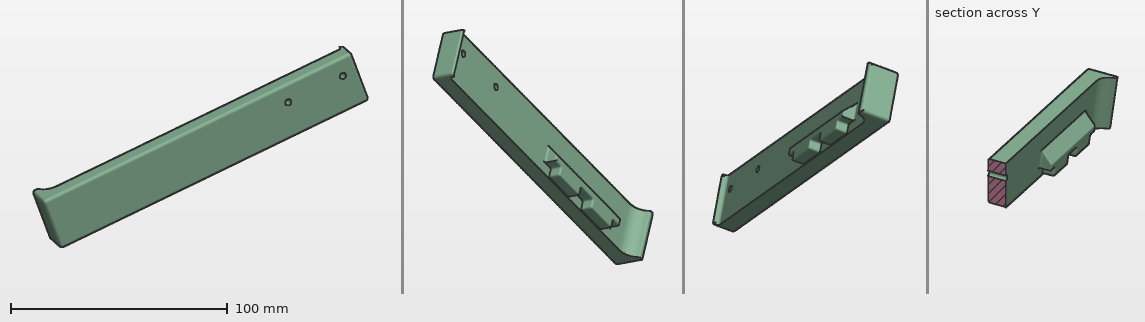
import cadquery as cq
import math

bar_length = 161.0
bar_height = 25.8
bar_thickness = 9.0
tilt_angle = 20
edge_radius = 1.5

hook_depth = 15.5
hook_arc_radius = 8.0
hook_arc_start = 11.1
hook_tip_radius = 1.0

lip_depth = 11.6
lip_width = 1.9
lip_arc_radius = 1.6
lip_edge_radius = 0.8

hole_diameter = 3.0
hole_end_distance = 7.6
hole_spacing = 28.5
hole_height = 4.1

block_depth = 15.0
block_start = 22.1
block_length = 55.7
block_top = 1.6
block_bottom = -7.5
block_edge_radius = 0.8
block_base_radius = 1.0
tooth_width = 17.5
tooth_gap = 10.4
tooth_bottom = -12.3
tooth_corner_radius = 1.0

PICK_MARGIN = 0.2


def make_bar():
    """Bar with the hook and the lip, drawn in plan and extruded upwards."""
    arc_centre_x = -bar_thickness - hook_arc_radius
    rise = hook_depth - bar_thickness
    arc_run = math.sqrt(hook_arc_radius**2 - (hook_arc_radius - rise) ** 2)
    middle_angle = math.asin(arc_run / hook_arc_radius) / 2
    hook_middle = (
        arc_centre_x + hook_arc_radius * math.cos(middle_angle),
        hook_arc_start - hook_arc_radius * math.sin(middle_angle),
    )
    hook_tip = (-hook_depth, hook_arc_start - arc_run)

    lip_wall = bar_length - lip_width
    lip_arc_centre = (-bar_thickness - lip_arc_radius, lip_wall - lip_arc_radius)
    diagonal = lip_arc_radius * math.sqrt(0.5)
    lip_middle = (lip_arc_centre[0] + diagonal, lip_arc_centre[1] + diagonal)

    bar = (
        cq.Workplane("XY")
        .workplane(offset=-bar_height / 2)
        .lineTo(-hook_depth, 0)
        .lineTo(*hook_tip)
        .threePointArc(hook_middle, (-bar_thickness, hook_arc_start))
        .lineTo(-bar_thickness, lip_arc_centre[1])
        .threePointArc(lip_middle, (lip_arc_centre[0], lip_wall))
        .lineTo(-lip_depth, lip_wall)
        .lineTo(-lip_depth, bar_length)
        .lineTo(0, bar_length)
        .close()
        .extrude(bar_height)
    )
    bar = bar.edges("(>X) or (<Y) or (>Y and |X)").fillet(edge_radius)
    near_tip = cq.selectors.BoxSelector(
        (-hook_depth - PICK_MARGIN, hook_tip[1] - PICK_MARGIN, -bar_height),
        (-hook_depth + PICK_MARGIN, hook_tip[1] + PICK_MARGIN, bar_height),
    )
    bar = bar.edges(near_tip).fillet(hook_tip_radius)
    near_lip = cq.selectors.BoxSelector(
        (-lip_depth - PICK_MARGIN, lip_wall - PICK_MARGIN, -bar_height),
        (-lip_depth + PICK_MARGIN, bar_length + PICK_MARGIN, bar_height),
    )
    return bar.edges(near_lip).edges("|Z").fillet(lip_edge_radius)


def make_block():
    """Clip block with a 45 degree top and two teeth along its bottom."""
    slope_drop = block_depth - bar_thickness
    block = (
        cq.Workplane("XZ", origin=(0, block_start, 0))
        .moveTo(-bar_thickness, block_top)
        .lineTo(-block_depth, block_top - slope_drop)
        .lineTo(-block_depth, block_bottom)
        .lineTo(-bar_thickness, block_bottom)
        .close()
        .extrude(-block_length)
    )
    tooth_spacing = tooth_width + tooth_gap
    block_middle = block_start + block_length / 2
    for side in (-1, 1):
        tooth = cq.Workplane("XY").box(
            slope_drop, tooth_width, block_bottom - tooth_bottom, centered=(False, True, False)
        )
        block = block.union(
            tooth.translate((-block_depth, block_middle + side * tooth_spacing / 2, tooth_bottom))
        )
    beside_teeth = cq.selectors.BoxSelector(
        (-block_depth, block_start + PICK_MARGIN, tooth_bottom - PICK_MARGIN),
        (-bar_thickness, block_start + block_length - PICK_MARGIN, block_bottom + PICK_MARGIN),
    )
    return block.edges("|X").edges(beside_teeth).fillet(tooth_corner_radius)


def drill_holes(bar):
    """Screw holes through the bar from front to back."""
    first_hole = bar_length - hole_end_distance
    for place in (first_hole, first_hole - hole_spacing):
        hole = cq.Workplane("YZ", origin=(0, place, hole_height)).circle(hole_diameter / 2)
        bar = bar.cut(hole.extrude(-lip_depth))
    return bar


def round_block(part):
    """Round the foot of both block ends, then the outline of the block's front face and slope."""
    block_end = block_start + block_length
    feet = cq.selectors.BoxSelector(
        (-bar_thickness - PICK_MARGIN, block_start - PICK_MARGIN, block_bottom),
        (-bar_thickness + PICK_MARGIN, block_end + PICK_MARGIN, block_top - PICK_MARGIN),
    )
    part = part.edges(feet).edges("|Z").fillet(block_base_radius)
    front_outline = cq.selectors.BoxSelector(
        (-block_depth - PICK_MARGIN, block_start - PICK_MARGIN, tooth_bottom - PICK_MARGIN),
        (-bar_thickness - block_base_radius, block_end + PICK_MARGIN, block_top - PICK_MARGIN),
    )
    return part.edges(front_outline).edges("not |X").fillet(block_edge_radius)


part = drill_holes(make_bar()).union(make_block())
result = round_block(part).rotate((0, 0, 0), (1, 0, 0), tilt_angle)